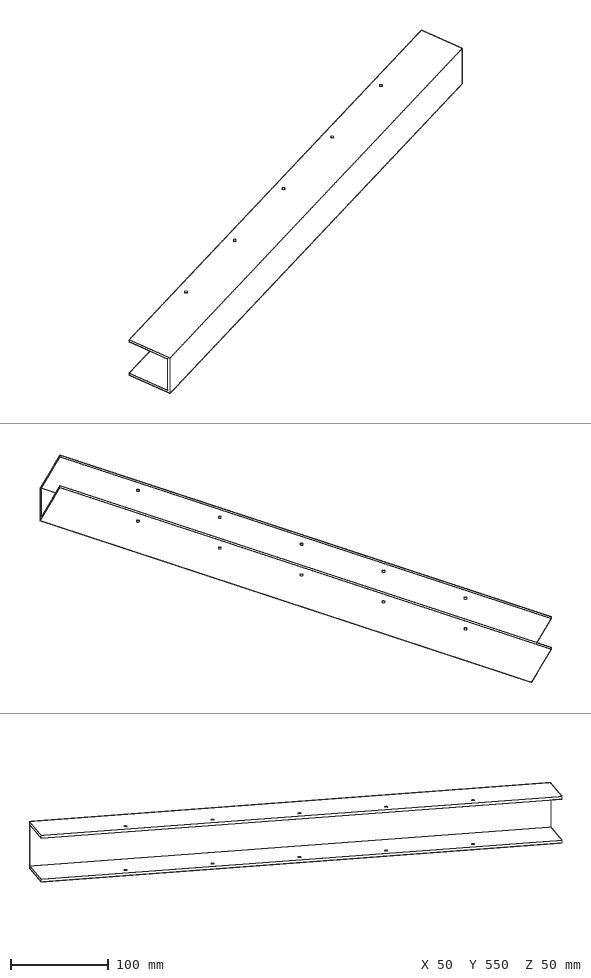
import cadquery as cq

WIDTH = 50.0
HEIGHT = 50.0
LENGTH = 550.0
WALL = 3.0

HOLE_DIAMETER = 3.0
HOLE_COUNT = 5
HOLE_EDGE_DISTANCE = 10.0
HOLE_PITCH = LENGTH / (HOLE_COUNT + 1)


def make_channel():
    """Square bar with its inside removed, leaving two flanges and a web on +X."""
    bar = cq.Workplane("XY").box(WIDTH, LENGTH, HEIGHT)
    cavity = cq.Workplane("XY").box(WIDTH, LENGTH, HEIGHT - 2 * WALL)
    return bar.cut(cavity.translate((-WALL, 0, 0)))


def make_flange_holes():
    """Evenly spaced vertical cylinders that cross both flanges."""
    hole_x = -WIDTH / 2 + HOLE_EDGE_DISTANCE
    return (
        cq.Workplane("XY", origin=(hole_x, 0, -HEIGHT / 2))
        .rarray(1, HOLE_PITCH, 1, HOLE_COUNT)
        .circle(HOLE_DIAMETER / 2)
        .extrude(HEIGHT)
    )


result = make_channel().cut(make_flange_holes())